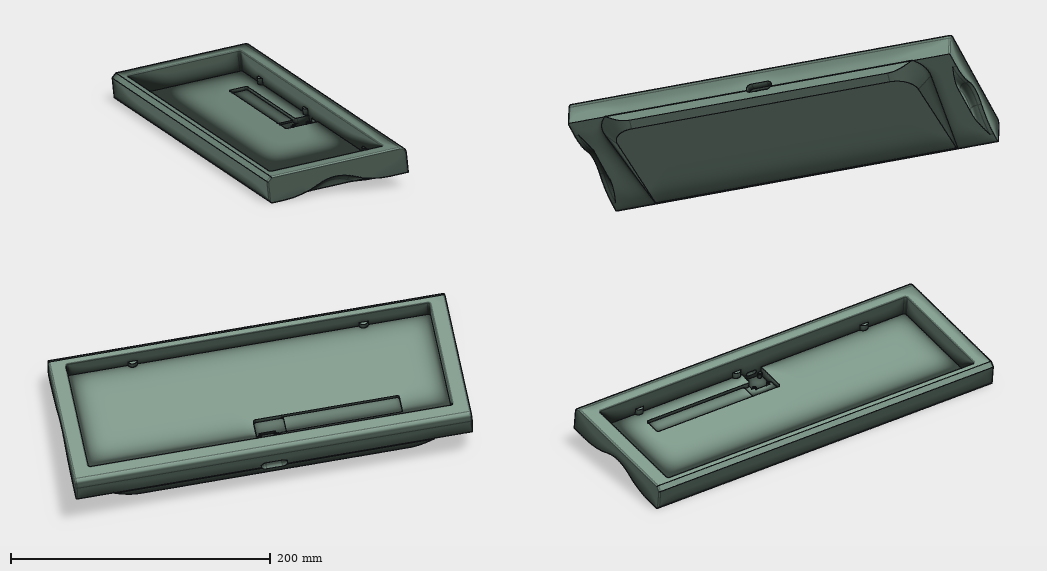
import cadquery as cq
import math

TILT = 6.0
LENGTH = 311.7
DEPTH = 117.2
HEIGHT = 21.2
LIFT = 0.3
TOP_FRONT_CHAMFER = 3.5
TOP_BACK_RADIUS = 5.5
BOTTOM_FRONT_RADIUS = 3.0
END_EDGE_RADIUS = 1.1

SIDE_WALL = 12.8
POCKET_FRONT = 8.0
BACK_WALL = 14.3
POCKET_BACK = DEPTH - BACK_WALL
POCKET_LENGTH = LENGTH - 2 * SIDE_WALL
POCKET_DEPTH = 16.8
FLOOR = HEIGHT - POCKET_DEPTH
RIM_RADIUS = 0.5
CORNER_RADIUS = 2.0

TAB_DIAMETER = 8.0
TAB_HEIGHT = 5.0
TAB_SINK = 1.5
BACK_TABS_X = (-104.7, -14.0, 104.7)
FRONT_TABS_X = (-90.7, 90.7)

BOARD_HALF_WIDTH = 9.0
CHANNEL_LEFT = -105.7
CHANNEL_STEP_X = -14.5
CHANNEL_FRONT = 76.0
CHANNEL_BACK = 91.3
CHANNEL_DEPTH = 2.8
DEEP_END_DEPTH = 4.5
BOARD_FRONT = 86.3
BOARD_DEPTH = 7.5
BOSS_DIAMETER = 3.0
SCREW_DIAMETER = 1.6
SCREW_DEPTH = 4.7
BOSS_X = 6.5
BOSS_ROWS = (88.5, 100.7)

PORT_LENGTH = 9.5
PORT_WIDTH = 3.5
PLUG_LENGTH = 20.5
PLUG_WIDTH = 8.0
PLUG_DEPTH = 6.2
PORT_HEIGHT = FLOOR - 2.5

SCOOP_CENTRE = 56.7
SCOOP_HALF_SPAN = 44.3
SCOOP_CROWN_SHARE = 0.33
SCOOP_RISE = 10.0
SCOOP_REACH = 8.0
SCOOP_FILLET = 5.0

FOOT_FRONT = 3.7
FOOT_BACK = 117.2
FOOT_INSET = 33.0
FOOT_SLOPE = 45.0
FOOT_BACK_CHAMFER = 5.0
FOOT_CORNER_RADIUS = 17.5


def box(x_min, x_max, y_min, y_max, z_min, z_max):
    size = (x_max - x_min, y_max - y_min, z_max - z_min)
    return cq.Workplane("XY").box(*size, centered=False).translate((x_min, y_min, z_min))


def corner_block(x_1, x_2, y_1, y_2, z_min, z_max):
    """A box whose X and Y limits may come in either order."""
    return box(min(x_1, x_2), max(x_1, x_2), min(y_1, y_2), max(y_1, y_2), z_min, z_max)


def cylinders(points, diameter, bottom, height):
    return cq.Workplane("XY", origin=(0, 0, bottom)).pushPoints(points).circle(diameter / 2).extrude(height)


def tilted(body):
    return body.rotate((0, 0, 0), (1, 0, 0), TILT).translate((0, 0, LIFT))


def scoop():
    """Cutter for one scoop: a crown arc between two flank arcs, rounded into an upright end wall."""
    below = -SCOOP_RISE - SCOOP_FILLET
    run_out = SCOOP_FILLET
    front = SCOOP_CENTRE - SCOOP_HALF_SPAN
    back = SCOOP_CENTRE + SCOOP_HALF_SPAN
    radius_sum = (SCOOP_HALF_SPAN**2 + SCOOP_RISE**2) / (2 * SCOOP_RISE)
    flank_radius = (1 - SCOOP_CROWN_SHARE) * radius_sum
    swing = math.asin(SCOOP_HALF_SPAN / radius_sum)
    flank_run = flank_radius * math.sin(swing)
    flank_rise = flank_radius * (1 - math.cos(swing))
    middle_run = flank_radius * math.sin(swing / 2)
    middle_rise = flank_radius * (1 - math.cos(swing / 2))
    profile = (
        cq.Workplane("YZ")
        .moveTo(front - run_out, below)
        .lineTo(front - run_out, 0)
        .lineTo(front, 0)
        .threePointArc((front + middle_run, middle_rise), (front + flank_run, flank_rise))
        .threePointArc((SCOOP_CENTRE, SCOOP_RISE), (back - flank_run, flank_rise))
        .threePointArc((back - middle_run, middle_rise), (back, 0))
        .lineTo(back + run_out, 0)
        .lineTo(back + run_out, below)
        .close()
    )
    cutter = profile.extrude(SCOOP_REACH)
    roof_edges = cutter.faces(">X").edges("not(<Y or >Y or <Z)")
    return roof_edges.fillet(SCOOP_FILLET).translate((-LENGTH / 2, 0, 0))


def case():
    trim = 3.0
    body = box(-LENGTH / 2, LENGTH / 2, 0, DEPTH, -trim, HEIGHT)
    body = body.edges("|X and >Z and <Y").chamfer(TOP_FRONT_CHAMFER)
    body = body.edges("|X and >Z and >Y").fillet(TOP_BACK_RADIUS)
    body = body.faces("<X or >X").edges().fillet(END_EDGE_RADIUS)
    trimmed = box(-LENGTH / 2, LENGTH / 2, 0, DEPTH, 0, HEIGHT)
    trimmed = trimmed.edges("|X and <Z and <Y").fillet(BOTTOM_FRONT_RADIUS)
    body = body.intersect(trimmed)
    left_scoop = scoop()
    return body.cut(left_scoop).cut(left_scoop.mirror("YZ"))


def foot():
    """Sloping sides grow from the ground outline, cut off upright at the back and along the case bottom."""
    half_length = LENGTH / 2 - FOOT_INSET
    outline_back = FOOT_BACK - FOOT_BACK_CHAMFER
    rise = DEPTH * math.sin(math.radians(TILT)) + FLOOR
    wedge = (
        box(-half_length, half_length, FOOT_FRONT, outline_back, 0, rise)
        .edges("|Z and >Y").fillet(FOOT_CORNER_RADIUS)
        .faces("<Z").wires().toPending()
        .workplane(invert=True)
        .extrude(rise, taper=-FOOT_SLOPE, combine=False)
    )
    wedge = wedge.intersect(box(-LENGTH / 2, LENGTH / 2, FOOT_FRONT, FOOT_BACK, 0, rise))
    under_case = box(-LENGTH, LENGTH, -DEPTH, 2 * DEPTH, -DEPTH, 0)
    return wedge.intersect(tilted(under_case))


def pocket():
    half_length = POCKET_LENGTH / 2
    cutter = box(-half_length, half_length, POCKET_FRONT, POCKET_BACK, FLOOR, HEIGHT)
    return cutter.edges("|Z").fillet(CORNER_RADIUS)


def hollow_case():
    tray = case().cut(pocket())
    rim = tray.faces(">Z").val().innerWires()
    return tray.newObject(rim).edges().fillet(RIM_RADIUS)


def tabs():
    points = [(x, POCKET_BACK + TAB_SINK) for x in BACK_TABS_X]
    points += [(x, POCKET_FRONT - TAB_SINK) for x in FRONT_TABS_X]
    return cylinders(points, TAB_DIAMETER, FLOOR, TAB_HEIGHT)


def floor_recesses():
    deep_level = FLOOR - DEEP_END_DEPTH
    channel_level = FLOOR - CHANNEL_DEPTH
    board_level = FLOOR - BOARD_DEPTH
    channel_right = CHANNEL_STEP_X + 2 * CORNER_RADIUS
    channel = box(CHANNEL_LEFT, channel_right, CHANNEL_FRONT, CHANNEL_BACK, channel_level, FLOOR)
    channel = channel.edges("|Z and <X").fillet(CORNER_RADIUS)
    deep_end = box(CHANNEL_STEP_X, BOARD_HALF_WIDTH, CHANNEL_FRONT, CHANNEL_BACK, deep_level, FLOOR)
    deep_end = deep_end.edges("|Z and <X and <Y").fillet(CORNER_RADIUS)
    deep_end = deep_end.union(
        box(-BOARD_HALF_WIDTH, BOARD_HALF_WIDTH, CHANNEL_FRONT, POCKET_BACK, deep_level, FLOOR))
    inner_corner = (-BOARD_HALF_WIDTH, CHANNEL_BACK, (deep_level + FLOOR) / 2)
    deep_end = deep_end.edges(cq.selectors.NearestToPointSelector(inner_corner)).fillet(CORNER_RADIUS)
    deep_end = deep_end.edges("|Z and >X and <Y").fillet(CORNER_RADIUS)

    board = box(-BOARD_HALF_WIDTH, BOARD_HALF_WIDTH, BOARD_FRONT, POCKET_BACK, board_level, FLOOR)
    boss_centres = []
    for boss_y, corner_y in zip(BOSS_ROWS, (BOARD_FRONT, POCKET_BACK)):
        for side in (-1, 1):
            boss_x = side * BOSS_X
            corner_x = side * BOARD_HALF_WIDTH
            boss_centres.append((boss_x, boss_y))
            board = board.cut(corner_block(boss_x, corner_x, boss_y, corner_y, board_level, deep_level))
    bosses = cylinders(boss_centres, BOSS_DIAMETER, board_level, BOARD_DEPTH - DEEP_END_DEPTH)
    board = board.cut(bosses)
    screws = cylinders(boss_centres, SCREW_DIAMETER, deep_level - SCREW_DEPTH, SCREW_DEPTH)
    return channel.union(deep_end).union(board).union(screws)


def connector_opening():
    back_plane = cq.Workplane("XZ", origin=(0, DEPTH, PORT_HEIGHT))
    port = back_plane.slot2D(PORT_LENGTH, PORT_WIDTH).extrude(BACK_WALL)
    plug = back_plane.slot2D(PLUG_LENGTH, PLUG_WIDTH).extrude(PLUG_DEPTH)
    foot_clearance = 3.0
    plug_outside = back_plane.slot2D(PLUG_LENGTH, PLUG_WIDTH).extrude(-foot_clearance)
    return port.union(plug).union(plug_outside)


shell = tilted(hollow_case()).union(foot())
shell = shell.union(tilted(tabs()))
shell = shell.cut(tilted(floor_recesses()))
result = shell.cut(tilted(connector_opening()))